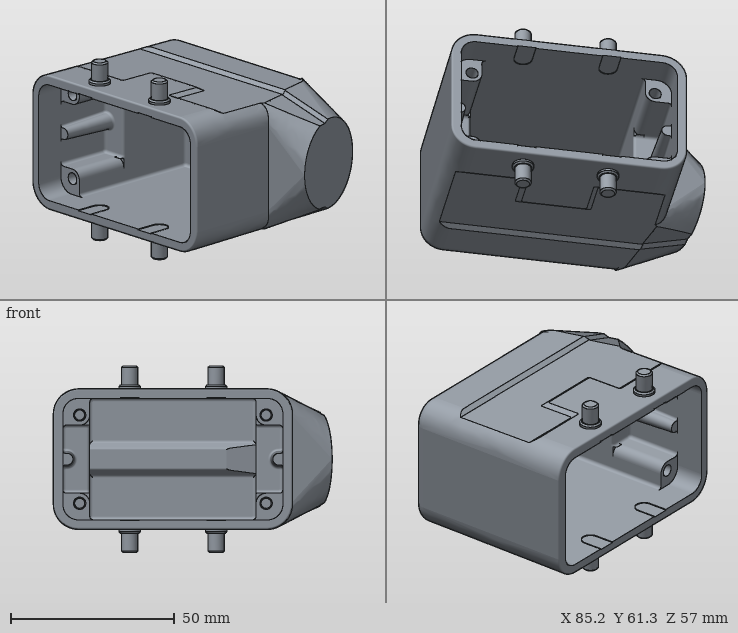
import cadquery as cq
import math


RIM_LENGTH = 73.1
RIM_HEIGHT = 43.0
DEPTH = 57.0
WALL_DRAFT = 0.5
WALL_LEAN = math.degrees(math.atan(WALL_DRAFT / DEPTH))
CORNER_RADIUS = 7.8
BACK_FILLET = 3.6
RIM_FILLET = 0.6

WALL = 3.0
CAVITY_LENGTH = RIM_LENGTH - 2 * WALL
CAVITY_HEIGHT = RIM_HEIGHT - 2 * WALL
CAVITY_CORNER_RADIUS = 4.7
CAVITY_FILLET = 1.0
CAVITY_SIDE_FILLET = 1.1
BOSS_FACE = 9.4
LEDGE_DEPTH = 28.1
LEDGE_EDGE_FILLET = 0.85
CAVITY_DEPTH = DEPTH - WALL

SCREW_X = 28.45
SCREW_Z = 13.45
BOSS_RADIUS = 3.1
SCREW_HOLE_RADIUS = 1.9
SCREW_HOLE_END_RADIUS = 1.5
SCREW_HOLE_DEPTH = 12.8
DEEP_HALF_LENGTH = SCREW_X - BOSS_RADIUS
LEDGE_HALF_HEIGHT = SCREW_Z - BOSS_RADIUS

RIB_FACE_RADIUS = 1.8
RIB_FOOT_RADIUS = 2.5
RIB_FOOT_FILLET = 0.8
RIB_X = 32.3

RIDGE_FOOT_HALF_WIDTH = 5.1
RIDGE_TOP_HALF_WIDTH = 3.2
RIDGE_HEIGHT = 3.4
RIDGE_FILLET = 0.8
RIDGE_RAMP_START = 16.35
RIDGE_RAMP_DROP = 2.1

PIN_X = 13.2
PIN_Y = 6.3
PIN_TIP = 57.0 / 2
PIN_DIAMETER = 5.0
PIN_CHAMFER = 0.5
COLLAR_DIAMETER = 6.65
COLLAR_TOP = 22.65
COLLAR_CHAMFER = 0.5
PIN_SLOT_WIDTH = 5.6
PIN_SLOT_DEPTH = 0.25

PANEL_DEPTH = 1.0
PANEL_FRONT = 14.8
PANEL_BACK = 41.6
PANEL_SLOPE = 1.6
TAB_HALF_WIDTH = 11.75
TAB_BACK = 26.75
TAB_CORNER_RADIUS = 1.3

SPOUT_TILT = 15.5
SPOUT_RADIUS = 14.3
SPOUT_LENGTH = 17.0
SPOUT_REACH_X = 85.2 - RIM_LENGTH / 2
SPOUT_REACH_Y = 61.3
SPOUT_END_X = SPOUT_REACH_X - SPOUT_RADIUS * math.sin(math.radians(SPOUT_TILT))
SPOUT_END_Y = SPOUT_REACH_Y - SPOUT_RADIUS * math.cos(math.radians(SPOUT_TILT))
SPOUT_ROOT_HALF_HEIGHT = 21.8
SPOUT_ROOT_CORNER_RADIUS = 4.0
SPOUT_SEAT_FRONT = -9.4
SPOUT_STEP_TOP = -0.5
SPOUT_STEP_FOOT = -2.2
SPOUT_STEP_DEPTH = 0.9


def xz_plane(y):
    """Workplane across the depth at y, facing +X right and +Z up; extrude(-d) runs toward +Y."""
    return cq.Workplane("XZ", origin=(0, y, 0))


def rounded_rectangle(length, height, radius):
    return cq.Sketch().rect(length, height).vertices().fillet(radius)


def both_sides(feature):
    return feature.union(feature.mirror("XY"))


def outer_shell():
    rim = rounded_rectangle(RIM_LENGTH, RIM_HEIGHT, CORNER_RADIUS)
    shell = xz_plane(0).placeSketch(rim).extrude(-DEPTH, taper=WALL_LEAN)
    return shell.faces(">Y").edges().fillet(BACK_FILLET).faces("<Y").edges().fillet(RIM_FILLET)


def panel_recess():
    """Recess with sloping borders on the +Z side, notched around the tab between the pins."""
    cutter_height = 2.55
    taper = -math.degrees(math.atan(PANEL_SLOPE / PANEL_DEPTH))
    floor_z = RIM_HEIGHT / 2 - PANEL_DEPTH
    floor = cq.Workplane("XY", origin=(0, 0, floor_z))
    recess = (
        floor.center(0, (PANEL_FRONT + PANEL_BACK) / 2)
        .rect(RIM_LENGTH, PANEL_BACK - PANEL_FRONT)
        .extrude(cutter_height, taper=taper)
    )
    tab_length = 2 * (TAB_BACK - PANEL_FRONT)
    tab = (
        floor.center(0, TAB_BACK - tab_length / 2)
        .rect(2 * TAB_HALF_WIDTH, tab_length)
        .extrude(cutter_height, taper=-taper)
    )
    slanted_edges = "not(#Z or |X or |Y)"
    recess = (
        recess.cut(tab)
        .edges(slanted_edges)
        .edges("not(>X or <X)")
        .fillet(TAB_CORNER_RADIUS)
    )
    return recess.rotate((0, 0, floor_z), (1, 0, floor_z), -WALL_LEAN)


def spout_point(along, across, z):
    """Point at a distance along the spout axis from its end, across it in XY, and at height z."""
    tilt = math.radians(SPOUT_TILT)
    return cq.Vector(
        SPOUT_END_X + along * math.cos(tilt) - across * math.sin(tilt),
        SPOUT_END_Y + along * math.sin(tilt) + across * math.cos(tilt),
        z,
    )


def polygon_face(points):
    return cq.Face.makeFromWires(cq.Wire.makePolygon(points, close=True))


def corner_arc(along, across, z, radius, turn_start):
    """Quarter circle around (across, z), starting at the given angle from the across direction."""
    points = []
    for step in range(3):
        angle = math.radians(turn_start + 45 * step)
        points.append(
            spout_point(along, across + radius * math.cos(angle), z + radius * math.sin(angle))
        )
    return cq.Edge.makeThreePointArc(*points)


def spout():
    """Solid that narrows from a rounded rectangular root to a round end."""
    corner_sides = [(1, 1), (-1, 1), (-1, -1), (1, -1)]
    root_arcs = []
    end_arcs = []
    for i, (across_side, z_side) in enumerate(corner_sides):
        across = across_side * (SPOUT_RADIUS - SPOUT_ROOT_CORNER_RADIUS)
        z = z_side * (SPOUT_ROOT_HALF_HEIGHT - SPOUT_ROOT_CORNER_RADIUS)
        root_arcs.append(
            corner_arc(-SPOUT_LENGTH, across, z, SPOUT_ROOT_CORNER_RADIUS, 90 * i)
        )
        end_arcs.append(corner_arc(0, 0, 0, SPOUT_RADIUS, 90 * i))

    faces = [cq.Face.makeFromWires(cq.Wire.assembleEdges(end_arcs))]
    root_edges = []
    for i, (root_arc, end_arc) in enumerate(zip(root_arcs, end_arcs)):
        side_start = root_arc.endPoint()
        side_end = root_arcs[(i + 1) % len(corner_sides)].startPoint()
        root_edges += [root_arc, cq.Edge.makeLine(side_start, side_end)]
        faces.append(cq.Face.makeRuledSurface(root_arc, end_arc))
        faces.append(polygon_face([side_start, side_end, end_arc.endPoint()]))
    faces.append(cq.Face.makeFromWires(cq.Wire.assembleEdges(root_edges)))
    solid = cq.Workplane(cq.Solid.makeSolid(cq.Shell.makeShell(faces)))

    between_walls = (
        xz_plane(0).rect(4 * RIM_LENGTH, RIM_HEIGHT).extrude(-2 * DEPTH, taper=WALL_LEAN)
    )
    return solid.intersect(between_walls)


def spout_seat():
    """Body corner beyond the spout root, which the spout replaces."""
    reach = RIM_HEIGHT
    outline = [
        spout_point(-SPOUT_LENGTH, SPOUT_SEAT_FRONT, 0),
        spout_point(reach, SPOUT_SEAT_FRONT, 0),
        spout_point(reach, reach, 0),
        spout_point(-SPOUT_LENGTH, reach, 0),
    ]
    plan = [(point.x, point.y) for point in outline]
    return cq.Workplane("XY").polyline(plan).close().extrude(reach, both=True)


def spout_step():
    """Layer taken off the front part of the spout's +Z side, parallel to its flat face."""
    floor = SPOUT_ROOT_HALF_HEIGHT - SPOUT_STEP_DEPTH
    clear = SPOUT_ROOT_HALF_HEIGHT + 2 * SPOUT_RADIUS
    profile = [
        (SPOUT_STEP_TOP, clear),
        (SPOUT_STEP_TOP, SPOUT_ROOT_HALF_HEIGHT),
        (SPOUT_STEP_FOOT, floor),
        (-2 * SPOUT_RADIUS, floor),
        (-2 * SPOUT_RADIUS, clear),
    ]
    points = [spout_point(-SPOUT_LENGTH, across, z) for across, z in profile]
    run = spout_point(0, 0, SPOUT_RADIUS) - spout_point(-SPOUT_LENGTH, 0, SPOUT_ROOT_HALF_HEIGHT)
    overrun = 1.1
    wire = cq.Wire.makePolygon(points, close=True)
    return cq.Workplane(cq.Solid.extrudeLinear(wire, [], run * overrun))


def guide_ribs():
    """Half-round ribs that stand on the ledges and widen toward them."""
    length = LEDGE_DEPTH - BOSS_FACE
    taper = -math.degrees(math.atan((RIB_FOOT_RADIUS - RIB_FACE_RADIUS) / length))
    wall_x = RIM_LENGTH / 2 - WALL / 2
    rib = (
        xz_plane(BOSS_FACE)
        .moveTo(wall_x, -RIB_FACE_RADIUS)
        .lineTo(RIB_X, -RIB_FACE_RADIUS)
        .threePointArc((RIB_X - RIB_FACE_RADIUS, 0), (RIB_X, RIB_FACE_RADIUS))
        .lineTo(wall_x, RIB_FACE_RADIUS)
        .close()
        .extrude(-length, taper=taper)
    )
    return rib.union(rib.mirror("YZ"))


def floor_ridge():
    """Ridge along X on the cavity floor, sloping down toward the spout."""
    top = CAVITY_DEPTH - RIDGE_HEIGHT
    ridge = (
        cq.Workplane("YZ", origin=(-DEEP_HALF_LENGTH, 0, 0))
        .polyline([
            (CAVITY_DEPTH, -RIDGE_FOOT_HALF_WIDTH),
            (top, -RIDGE_TOP_HALF_WIDTH),
            (top, RIDGE_TOP_HALF_WIDTH),
            (CAVITY_DEPTH, RIDGE_FOOT_HALF_WIDTH),
        ])
        .close()
        .extrude(2 * DEEP_HALF_LENGTH)
    )
    ramp = (
        cq.Workplane("XY")
        .polyline([
            (RIDGE_RAMP_START, top),
            (DEEP_HALF_LENGTH, top + RIDGE_RAMP_DROP),
            (DEEP_HALF_LENGTH, top),
        ])
        .close()
        .extrude(RIDGE_FOOT_HALF_WIDTH, both=True)
    )
    ridge = ridge.faces("<Y").edges("|X").fillet(RIDGE_FILLET)
    return ridge.cut(ramp)


def cavity():
    """Space inside the hood, leaving the screw bosses, ledges, guide ribs and floor ridge."""
    mouth = xz_plane(0).placeSketch(
        rounded_rectangle(CAVITY_LENGTH, CAVITY_HEIGHT, CAVITY_CORNER_RADIUS)
    ).extrude(-BOSS_FACE)
    deep = (
        xz_plane(0)
        .rect(2 * DEEP_HALF_LENGTH, CAVITY_HEIGHT)
        .extrude(-CAVITY_DEPTH)
        .edges("|Y")
        .fillet(CAVITY_SIDE_FILLET)
        .cut(floor_ridge())
        .faces(">Y")
        .edges()
        .fillet(CAVITY_FILLET)
    )
    ledge = (
        xz_plane(0)
        .rect(CAVITY_LENGTH, 2 * LEDGE_HALF_HEIGHT)
        .extrude(-LEDGE_DEPTH)
        .edges("|Y")
        .fillet(CAVITY_SIDE_FILLET)
        .faces(">Y")
        .edges()
        .fillet(CAVITY_FILLET)
    )
    space = mouth.union(deep).union(ledge)

    boss_length = LEDGE_DEPTH - BOSS_FACE
    boss_centers = xz_plane(BOSS_FACE).pushPoints(
        [(x, z) for x in (-SCREW_X, SCREW_X) for z in (-SCREW_Z, SCREW_Z)]
    )
    corner_blocks = boss_centers.rect(2 * BOSS_RADIUS, 2 * BOSS_RADIUS).extrude(-boss_length)
    corner_posts = boss_centers.circle(BOSS_RADIUS).extrude(-boss_length)
    inner_quarters = xz_plane(BOSS_FACE).rect(2 * SCREW_X, 2 * SCREW_Z).extrude(-boss_length)
    space = space.union(corner_blocks.intersect(inner_quarters).cut(corner_posts))
    space = space.cut(guide_ribs())

    margin = 0.1
    ledge_edges = cq.selectors.BoxSelector(
        (-DEEP_HALF_LENGTH - margin, LEDGE_DEPTH - margin, -LEDGE_HALF_HEIGHT),
        (DEEP_HALF_LENGTH + margin, LEDGE_DEPTH + margin, LEDGE_HALF_HEIGHT),
    )
    space = space.edges("|Z").edges(ledge_edges).fillet(LEDGE_EDGE_FILLET)
    for x in (-RIB_X, RIB_X):
        foot_arc = cq.selectors.NearestToPointSelector((x, LEDGE_DEPTH, 0))
        space = space.edges(foot_arc).fillet(RIB_FOOT_FILLET)
    return space


def screw_holes():
    """Holes in the boss faces that narrow slightly with depth."""
    taper = math.degrees(math.atan((SCREW_HOLE_RADIUS - SCREW_HOLE_END_RADIUS) / SCREW_HOLE_DEPTH))
    hole = xz_plane(BOSS_FACE).circle(SCREW_HOLE_RADIUS).extrude(-SCREW_HOLE_DEPTH, taper=taper)
    holes = cq.Workplane()
    for x in (-SCREW_X, SCREW_X):
        for z in (-SCREW_Z, SCREW_Z):
            holes = holes.union(hole.translate((x, 0, z)))
    return holes


def locking_pins():
    """Chamfered pins with collars on the +Z side."""
    root_z = RIM_HEIGHT / 2 - WALL / 2
    root = cq.Workplane("XY", origin=(0, 0, root_z)).pushPoints([(-PIN_X, PIN_Y), (PIN_X, PIN_Y)])
    collar = (
        root.circle(COLLAR_DIAMETER / 2)
        .extrude(COLLAR_TOP - root_z)
        .faces(">Z")
        .chamfer(COLLAR_CHAMFER)
    )
    pin = root.circle(PIN_DIAMETER / 2).extrude(PIN_TIP - root_z).faces(">Z").chamfer(PIN_CHAMFER)
    return collar.union(pin)


def pin_slots():
    """Shallow round-ended slots inside the +Z wall, running from the rim to behind each pin."""
    return (
        cq.Workplane("XY")
        .pushPoints([(-PIN_X, 0), (PIN_X, 0)])
        .slot2D(2 * PIN_Y + PIN_SLOT_WIDTH, PIN_SLOT_WIDTH, 90)
        .extrude(CAVITY_HEIGHT / 2 + PIN_SLOT_DEPTH)
    )


panels = both_sides(panel_recess())
body = outer_shell().cut(panels).cut(spout_seat())
stepped_spout = spout().cut(panels).cut(both_sides(spout_step()))

result = (
    body
    .union(stepped_spout)
    .cut(cavity())
    .cut(screw_holes())
    .union(both_sides(locking_pins()))
    .cut(both_sides(pin_slots()))
)